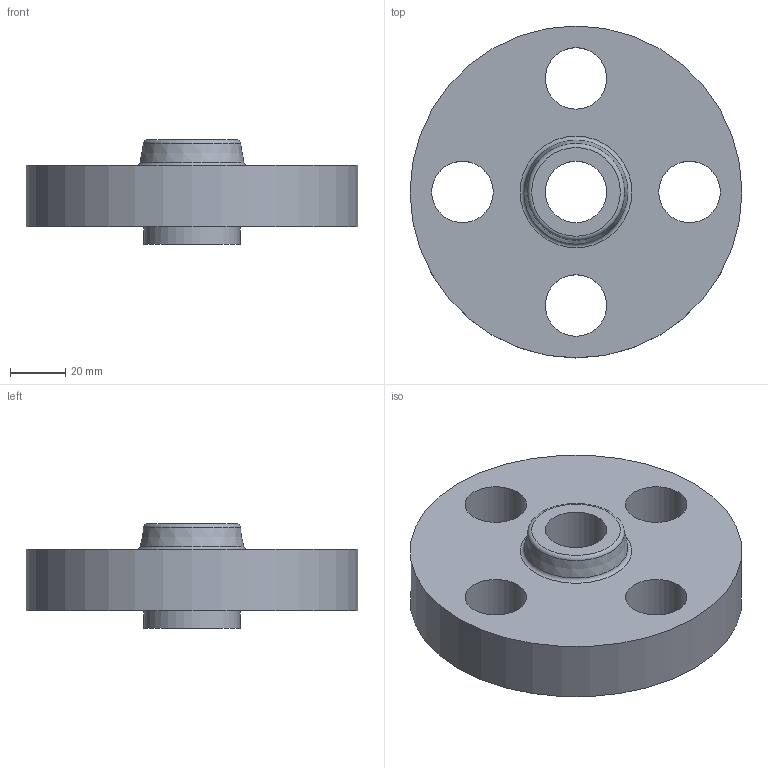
import cadquery as cq
import math

flange_diameter = 120.65
flange_thickness = 22.35
total_height = 38.1

face_diameter = 35.05
face_height = 6.35

hub_base_diameter = 38.1
hub_taper_angle = 10.0
hub_fillet_radius = 1.5

bore_diameter = 22.35
bolt_hole_diameter = 22.35
bolt_circle_diameter = 82.55
bolt_hole_count = 4

flange_bottom = face_height
flange_top = flange_bottom + flange_thickness
hub_height = total_height - flange_top


def make_body():
    """Revolve the half-section of raised face, flange plate and tapered hub."""
    face_radius = face_diameter / 2
    flange_radius = flange_diameter / 2
    hub_base_radius = hub_base_diameter / 2
    hub_top_radius = hub_base_radius - hub_height * math.tan(math.radians(hub_taper_angle))
    return (
        cq.Workplane("XZ")
        .moveTo(0, 0)
        .lineTo(face_radius, 0)
        .lineTo(face_radius, flange_bottom)
        .lineTo(flange_radius, flange_bottom)
        .lineTo(flange_radius, flange_top)
        .lineTo(hub_base_radius, flange_top)
        .lineTo(hub_top_radius, total_height)
        .lineTo(0, total_height)
        .close()
        .revolve(360, (0, 0, 0), (0, 1, 0))
    )


def round_hub(body):
    """Fillet the hub's top rim and the corner where it meets the flange."""
    hub_root_and_rim = cq.selectors.BoxSelector(
        (-hub_base_diameter, -hub_base_diameter, flange_top - hub_fillet_radius),
        (hub_base_diameter, hub_base_diameter, total_height + hub_fillet_radius),
        boundingbox=True,
    )
    return body.edges(hub_root_and_rim).edges("%CIRCLE").fillet(hub_fillet_radius)


def cut_holes(body):
    """Cut the central bore and the ring of bolt holes through the full height."""
    bore = cq.Workplane("XY").circle(bore_diameter / 2).extrude(total_height)
    bolt_holes = (
        cq.Workplane("XY")
        .polarArray(bolt_circle_diameter / 2, 0, 360, bolt_hole_count)
        .circle(bolt_hole_diameter / 2)
        .extrude(total_height)
    )
    return body.cut(bore).cut(bolt_holes)


result = cut_holes(round_hub(make_body()))